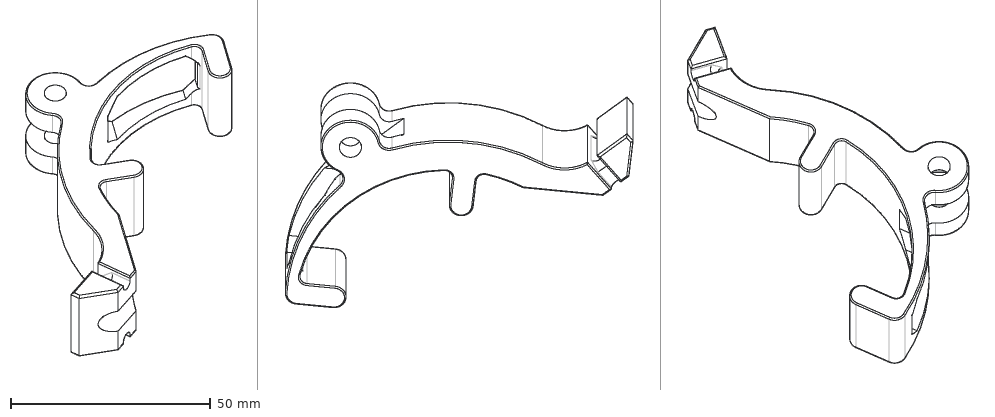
import cadquery as cq
import math

height = 22.0
edge_break = 0.4
jaw_edge_break = 0.6

hinge_radius = 7.4
pin_hole_radius = 2.8
hinge_gap = 8.95
hinge_gap_floor_x = 8.0
hinge_fillet = 2.5

arc_center = (50.5, 9.0)
inner_radius = 38.4
lower_outer_radius = 46.85
upper_outer_center = (51.6, 4.7)
upper_outer_radius = 45.1

finger_width = 6.0
finger_tip_x = 30.1
finger_tip_rise = 20.5
finger_root_fillet = 2.0
middle_finger_reach = 10.95
hook_corner_fillet = 3.0

tail_right_x = 50.3
tail_left_x = 40.8
tail_bend_radius = 11.1
tail_slope_sum = 9.5
jaw_bottom_y = -56.2
jaw_slant_difference = 99.4
cord_groove_y = -45.0
cord_groove_width = 2.95
cord_groove_depth = 2.9
cord_corner_reach = 7.5
scallop_radius = 3.6

window_low_sum = 17.6
window_high_sum = 54.4
window_width = 15.6
window_corner = 3.1
window_end_chamfer = 0.7
window_reach = 38.1

diagonal = math.sqrt(2)
arc_x, arc_y = arc_center
finger_side = finger_width / 2 / diagonal
hook_tip = (finger_tip_x, arc_y + finger_tip_rise)
finger_tip = (finger_tip_x, arc_y - finger_tip_rise)
hook_outer_sum = sum(hook_tip) + finger_width / 2 * diagonal
hook_inner_sum = sum(hook_tip) - finger_width / 2 * diagonal
groove_top_y = cord_groove_y + cord_groove_width / 2
groove_bottom_y = cord_groove_y - cord_groove_width / 2


def prism(points):
    """Full-height prism over a closed polygon."""
    return cq.Workplane("XY").polyline(points).close().extrude(height / 2, both=True)


def disc(center, radius):
    """Full-height cylinder about a vertical axis."""
    return cq.Workplane("XY").center(*center).circle(radius).extrude(height / 2, both=True)


def circle_point(center, radius, y):
    """Point at height y on the left half of a circle."""
    return (center[0] - math.sqrt(radius**2 - (y - center[1]) ** 2), y)


def circle_at_sum(center, radius, total, side):
    """Point of a circle on the line x + y = total, on its right (side 1) or left (side -1)."""
    offset = total - sum(center)
    dx = (offset + side * math.sqrt(2 * radius**2 - offset**2)) / 2
    return (center[0] + dx, total - center[0] - dx)


def circle_at_difference(center, radius, difference):
    """Lower left point of a circle on the line x - y = difference."""
    offset = difference - center[0] + center[1]
    dx = (offset - math.sqrt(2 * radius**2 - offset**2)) / 2
    return (center[0] + dx, center[0] + dx - difference)


def polar(center, radius, angle):
    """Point of a circle at an angle in radians."""
    return (center[0] + radius * math.cos(angle), center[1] + radius * math.sin(angle))


hook_corner = circle_at_sum(upper_outer_center, upper_outer_radius, hook_outer_sum, -1)
hook_notch = circle_at_sum(arc_center, inner_radius, hook_inner_sum, -1)
slope_start = circle_at_sum(arc_center, inner_radius, tail_slope_sum, 1)


def arm_outline():
    """Curved arm with the straight part of the hook finger and the upper part of the tail."""
    upper_mid = circle_point(upper_outer_center, upper_outer_radius, arc_y + hinge_radius)
    upper_root = circle_point(upper_outer_center, upper_outer_radius, 0)

    bend_x = tail_left_x - tail_bend_radius
    bend_reach = lower_outer_radius + tail_bend_radius
    bend_angle = math.pi + math.acos((arc_x - bend_x) / bend_reach)
    bend_center = polar(arc_center, bend_reach, bend_angle)
    lower_root = circle_point(arc_center, lower_outer_radius, 0)
    root_angle = math.atan2(-arc_y, lower_root[0] - arc_x) + 2 * math.pi
    lower_mid = polar(arc_center, lower_outer_radius, (root_angle + bend_angle) / 2)
    bend_start = polar(arc_center, lower_outer_radius, bend_angle)
    tail_drop = math.asin((groove_top_y - bend_center[1]) / tail_bend_radius)
    bend_mid = polar(bend_center, tail_bend_radius, (bend_angle - math.pi + tail_drop) / 2)
    bend_end = polar(bend_center, tail_bend_radius, tail_drop)

    tip_outer = (hook_tip[0] + finger_side, hook_tip[1] + finger_side)
    tip_inner = (hook_tip[0] - finger_side, hook_tip[1] - finger_side)

    return (
        cq.Workplane("XY")
        .moveTo(*hook_corner)
        .threePointArc(upper_mid, upper_root)
        .lineTo(*lower_root)
        .threePointArc(lower_mid, bend_start)
        .threePointArc(bend_mid, bend_end)
        .lineTo(tail_right_x, groove_top_y)
        .lineTo(tail_right_x, tail_slope_sum - tail_right_x)
        .lineTo(*slope_start)
        .threePointArc((arc_x - inner_radius, arc_y), hook_notch)
        .lineTo(*tip_inner)
        .lineTo(*tip_outer)
        .close()
        .extrude(height / 2, both=True)
    )


def middle_finger():
    """Round-ended bar at 45 degrees from its tip back into the arm."""
    bar = cq.Workplane("XY").box(middle_finger_reach, finger_width, height)
    bar = bar.translate((-middle_finger_reach / 2, 0, 0))
    bar = bar.rotate((0, 0, 0), (0, 0, 1), 45).translate((*finger_tip, 0))
    return bar.union(disc(finger_tip, finger_width / 2))


def round_edge(body, x, y, radius):
    """Round the vertical edge nearest to (x, y)."""
    nearest = cq.selectors.NearestToPointSelector((x, y, 0))
    return body.edges("|Z").edges(nearest).fillet(radius)


def arm():
    """Arm with both fingers and the hinge eye, rounded and chamfered."""
    body = arm_outline().union(disc(hook_tip, finger_width / 2))
    body = body.union(middle_finger()).union(disc((0, 0), hinge_radius))
    body = round_edge(body, *hook_corner, hook_corner_fillet)
    finger_notch = (hook_notch[0], 2 * arc_y - hook_notch[1])
    underside_offset = finger_tip[0] - finger_tip[1] + finger_width / 2 * diagonal
    finger_underside = circle_at_difference(arc_center, inner_radius, underside_offset)
    for corner in (hook_notch, finger_notch, finger_underside):
        body = round_edge(body, *corner, finger_root_fillet)
    for side in (1, -1):
        body = round_edge(body, hinge_radius, side * hinge_radius / 2, hinge_fillet)
    return break_rims(body)


def break_rims(body):
    """Chamfer the top and bottom rims, leaving the sloped tail edge sharp."""
    slope_x = (slope_start[0] + tail_right_x) / 2
    box_size = (0.95, 0.95, 2 * height)
    on_slope = cq.selectors.BoxSelector((slope_x, tail_slope_sum - slope_x, 0), box_size, True)
    return body.faces(">Z or <Z").edges(cq.selectors.InverseSelector(on_slope)).chamfer(edge_break)


def jaw():
    """Slanted block below the cord groove."""
    points = [
        (tail_left_x, groove_bottom_y),
        (tail_right_x, groove_bottom_y),
        (tail_right_x, tail_right_x - jaw_slant_difference),
        (jaw_bottom_y + jaw_slant_difference, jaw_bottom_y),
        (tail_left_x, jaw_bottom_y),
    ]
    return prism(points).faces(">Z or <Z").edges().chamfer(jaw_edge_break)


def neck():
    """Bridge between arm and jaw, with a cord groove around its top, left and bottom."""
    width = tail_right_x - tail_left_x
    bridge = cq.Workplane("XY").box(width, cord_groove_width, height)
    bridge = bridge.translate(((tail_left_x + tail_right_x) / 2, cord_groove_y, 0))
    left_floor = (tail_left_x + cord_groove_depth, 0)
    top_floor = (tail_right_x, height / 2 - cord_groove_depth)
    across = cord_corner_reach / 2
    corner_floor = (tail_left_x + across, height / 2 - across)
    for floor, angle in (
        (left_floor, 90),
        (top_floor, 0),
        (corner_floor, 45),
        ((top_floor[0], -top_floor[1]), 180),
        ((corner_floor[0], -corner_floor[1]), 135),
    ):
        bridge = bridge.cut(cord_slot(floor, angle))
    return bridge


def cord_slot(floor, angle):
    """Straight round-bottomed slot whose floor passes through a point (x, z).

    At angle 0 it opens upward; positive angles turn the opening toward -X.
    """
    radius = cord_groove_width / 2
    length = 4 * height
    rod = cq.Workplane("YZ").circle(radius).extrude(length / 2, both=True).translate((0, 0, radius))
    mouth = cq.Workplane("XY").box(length, cord_groove_width, height).translate((0, 0, radius + height / 2))
    slot = rod.union(mouth).rotate((0, 0, 0), (0, 1, 0), -angle)
    return slot.translate((floor[0], cord_groove_y, floor[1]))


def hinge_gap_cut():
    """Gap that splits the hinge eye into two lugs and opens into the window."""
    depth = hinge_gap_floor_x + hinge_radius
    span = 4 * hinge_radius
    block = cq.Workplane("XY").box(depth, span, hinge_gap)
    return block.translate((hinge_gap_floor_x - depth / 2, 0, 0))


def window_cut():
    """Octagonal bar along (1, -1, 0) that passes through the arm below the hook."""
    length = (window_high_sum - window_low_sum) / diagonal
    middle = (window_high_sum + window_low_sum) / 4
    bar = cq.Workplane("XY").box(window_reach, length, window_width).edges("|X").chamfer(window_corner)
    return bar.rotate((0, 0, 0), (0, 0, 1), -45).translate((middle, middle, 0))


def scallop_cut():
    """Round channel along Y in the right face of the tail and jaw."""
    rod = cq.Workplane("XZ").circle(scallop_radius).extrude(-jaw_bottom_y)
    return rod.translate((tail_right_x, 0, 0))


def chamfer_window_end(body):
    """Chamfer the edge where the upper window end breaks through into the hook notch."""
    near_notch = cq.selectors.NearestToPointSelector((*hook_notch, 0))
    return body.edges("|Z").edges(near_notch).chamfer(window_end_chamfer)


result = arm().union(jaw()).union(neck())
result = result.cut(hinge_gap_cut()).cut(window_cut()).cut(scallop_cut())
result = chamfer_window_end(result)
result = result.cut(disc((0, 0), pin_hole_radius))